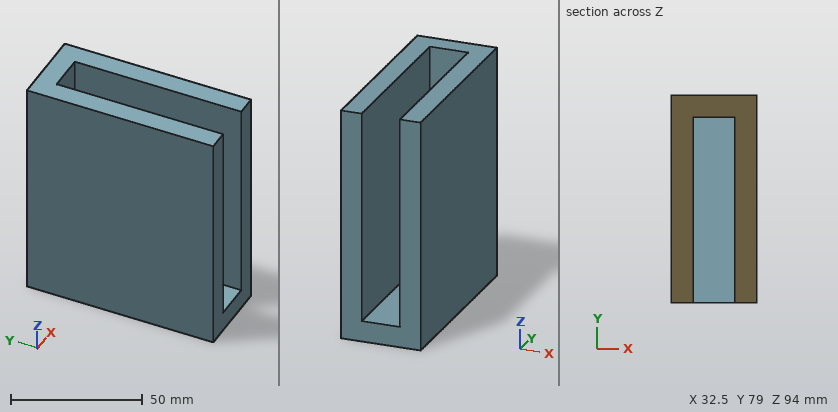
import cadquery as cq

width = 32.5
depth = 79.0
height = 94.0

wall = 8.5

block = cq.Workplane("XY").box(width, depth, height, centered=(True, True, False))

slot = (
    cq.Workplane("XY")
    .box(width - 2 * wall, depth - wall, height - wall, centered=(True, True, False))
    .translate((0, -wall / 2, wall))
)

result = block.cut(slot)